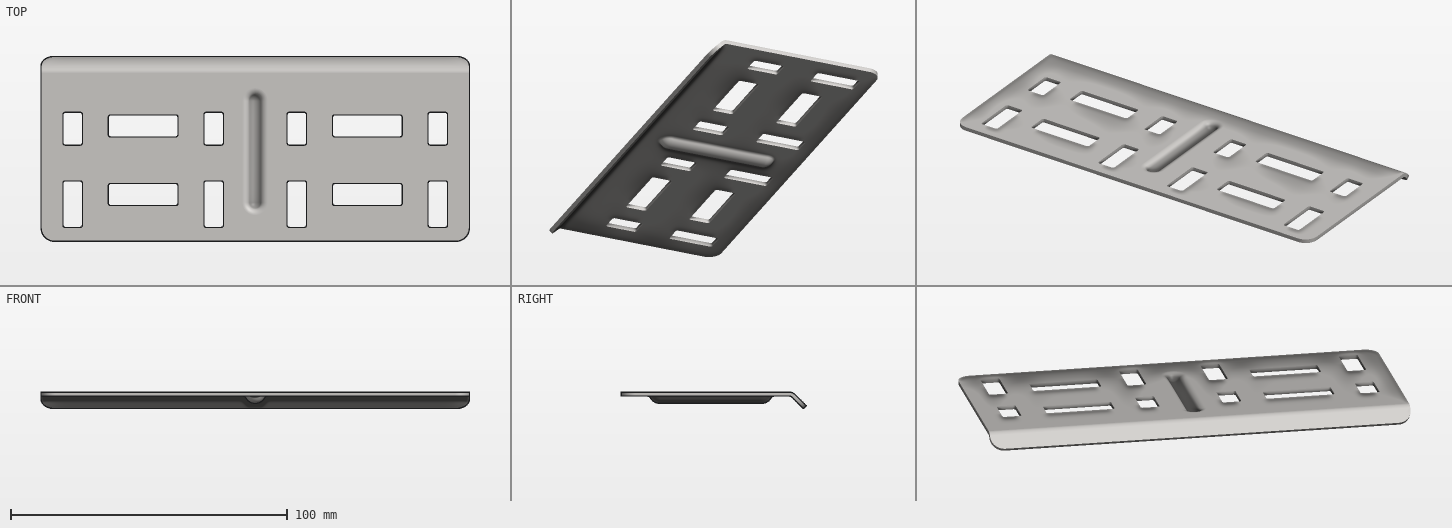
import cadquery as cq
import math

length = 155.0
overall_depth = 67.0
overall_height = 6.0
thickness = 1.5
corner_radius = 5.0
bend_angle = 45.0
bend_outer_radius = 2 * thickness
bend_inner_radius = bend_outer_radius - thickness

bend_sin = math.sin(math.radians(bend_angle))
bend_cos = math.cos(math.radians(bend_angle))
lip_drop = overall_height - bend_outer_radius * (1 - bend_cos) - thickness * bend_cos
lip_length = lip_drop / bend_sin
flat_depth = overall_depth - bend_outer_radius * bend_sin - lip_length * bend_cos

slot_corner_radius = 0.8
row_pitch = 24.8
narrow_width = 7.0
narrow_inner_x = 15.0
narrow_outer_x = 66.0
upper_narrow_height = 11.8
lower_narrow_height = 16.7
upper_narrow_top = 46.7
wide_width = 25.1
wide_height = 7.9
wide_x = (narrow_inner_x + narrow_outer_x) / 2
upper_wide_top = 45.7

bead_width = 9.0
bead_trough_width = 4.2
bead_depth = 2.6
bead_straight_length = 36.9
bead_center_y = 32.4
bead_slope = 2 * math.atan(bead_depth / (bead_width / 2))
bead_trough_radius = bead_trough_width / 2 / math.sin(bead_slope)
bead_shoulder_radius = (bead_width - bead_trough_width) / 2 / math.sin(bead_slope)


def arc_point(center, radius, angle):
    """Point at an angle (radians) on a circle."""
    return center[0] + radius * math.cos(angle), center[1] + radius * math.sin(angle)


def make_flat_plate():
    plate = cq.Workplane("XY").box(length, flat_depth, thickness, centered=(True, False, False))
    plate = plate.translate((0, 0, -thickness))
    return plate.edges("|Z and <Y").fillet(corner_radius)


def make_bend():
    """Sector of a ring that joins the flat plate to the lip."""
    center = (flat_depth, -bend_outer_radius)
    start = math.radians(90)
    end = math.radians(90 - bend_angle)
    middle = (start + end) / 2
    return (
        cq.Workplane("YZ")
        .moveTo(*arc_point(center, bend_inner_radius, start))
        .lineTo(*arc_point(center, bend_outer_radius, start))
        .threePointArc(
            arc_point(center, bend_outer_radius, middle),
            arc_point(center, bend_outer_radius, end),
        )
        .lineTo(*arc_point(center, bend_inner_radius, end))
        .threePointArc(
            arc_point(center, bend_inner_radius, middle),
            arc_point(center, bend_inner_radius, start),
        )
        .close()
        .extrude(length / 2, both=True)
    )


def make_lip():
    """Straight lip, made flat and then tilted down about the bend axis."""
    lip = cq.Workplane("XY").box(length, lip_length, thickness, centered=(True, False, False))
    lip = lip.edges("|Z and >Y").fillet(corner_radius)
    lip = lip.translate((0, flat_depth, -thickness))
    axis_start = (0, flat_depth, -bend_outer_radius)
    axis_end = (1, flat_depth, -bend_outer_radius)
    return lip.rotate(axis_start, axis_end, -bend_angle)


def make_bead_form(offset):
    """Solid enclosed by the bead's surface when that surface is moved down and outward by an offset."""
    shoulder_center = (bead_width / 2, -bead_shoulder_radius)
    shoulder_radius = bead_shoulder_radius - offset
    trough_center = (0, bead_trough_radius - bead_depth)
    trough_radius = bead_trough_radius + offset
    up = math.pi / 2

    half_profile = (
        cq.Workplane("XZ")
        .moveTo(0, -offset)
        .lineTo(*arc_point(shoulder_center, shoulder_radius, up))
        .threePointArc(
            arc_point(shoulder_center, shoulder_radius, up + bead_slope / 2),
            arc_point(shoulder_center, shoulder_radius, up + bead_slope),
        )
        .threePointArc(
            arc_point(trough_center, trough_radius, -up + bead_slope / 2),
            arc_point(trough_center, trough_radius, -up),
        )
        .close()
    )
    half_trough = half_profile.extrude(bead_straight_length / 2, both=True)
    form = half_trough.union(half_trough.mirror("YZ"))
    rounded_end = half_profile.toPending().revolve(360, (0, 0), (0, 1))
    for side in (-1, 1):
        form = form.union(rounded_end.translate((0, side * bead_straight_length / 2, 0)))
    return form.translate((0, bead_center_y, 0))


def make_slots(center_x, top_y, width, height):
    """Mirrored pair of rounded slot cutters that hang from a common top edge."""
    centers = [(-center_x, top_y - height / 2), (center_x, top_y - height / 2)]
    return (
        cq.Workplane("XY")
        .pushPoints(centers)
        .rect(width, height)
        .extrude(-thickness)
        .edges("|Z")
        .fillet(slot_corner_radius)
    )


sheet = make_flat_plate().union(make_bend()).union(make_lip())
sheet = sheet.union(make_bead_form(thickness)).cut(make_bead_form(0))

for row, narrow_height in enumerate((upper_narrow_height, lower_narrow_height)):
    row_drop = row * row_pitch
    for narrow_x in (narrow_inner_x, narrow_outer_x):
        sheet = sheet.cut(make_slots(narrow_x, upper_narrow_top - row_drop, narrow_width, narrow_height))
    sheet = sheet.cut(make_slots(wide_x, upper_wide_top - row_drop, wide_width, wide_height))

result = sheet